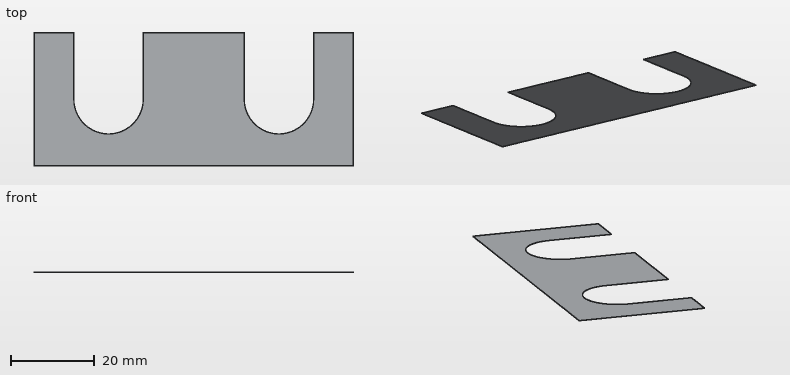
import cadquery as cq

plate_length = 76.2
plate_width = 31.75
plate_thickness = 0.127

slot_width = 16.51
slot_pitch = 40.64
slot_round_center_y = 0.0

slot_radius = slot_width / 2
open_edge_y = plate_width / 2


def make_plate():
    return cq.Workplane("XY").box(
        plate_length, plate_width, plate_thickness, centered=(True, True, False)
    )


def make_slot_cutter(center_x):
    """U-shaped cutter running from the open edge to a half-round end."""
    left_x = center_x - slot_radius
    right_x = center_x + slot_radius
    return (
        cq.Workplane("XY")
        .moveTo(left_x, open_edge_y)
        .lineTo(left_x, slot_round_center_y)
        .threePointArc(
            (center_x, slot_round_center_y - slot_radius),
            (right_x, slot_round_center_y),
        )
        .lineTo(right_x, open_edge_y)
        .close()
        .extrude(plate_thickness)
    )


result = make_plate()
for slot_center_x in (-slot_pitch / 2, slot_pitch / 2):
    result = result.cut(make_slot_cutter(slot_center_x))